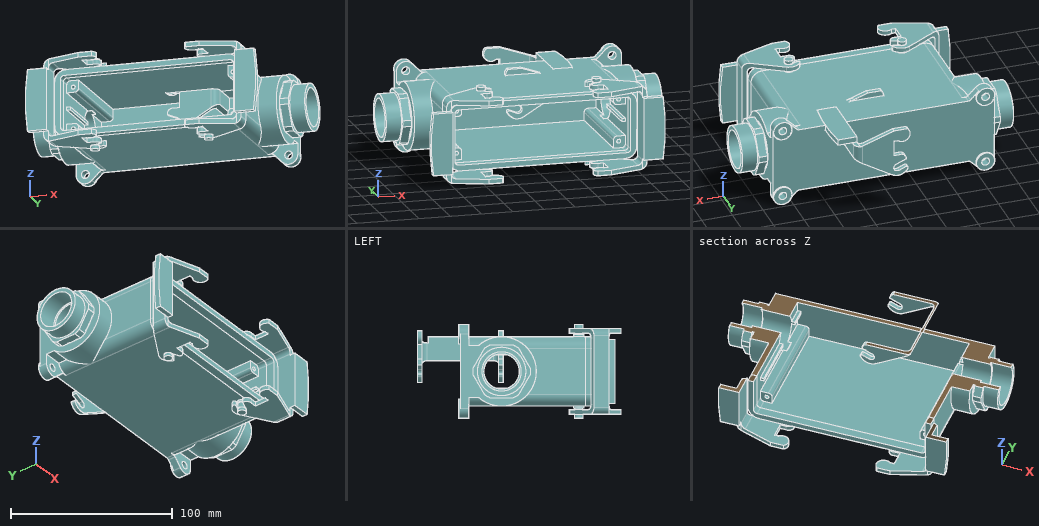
import cadquery as cq
import math


half_length = 60.2
half_height = 21.5
rim_y = -83.0
corner_radius = 7.3
wall = 3.7
cavity_corner_radius = 2.3
cavity_half_length = 56.3
cavity_half_height = half_height - wall

frame_depth = 5.8
shell_front_y = rim_y + frame_depth

post_size = 7.6
post_corner_radius = 2.3
post_hole_inset = 4.2
post_hole_diameter = 2.5
post_hole_depth = 10.6
post_front_y = -70.8
rib_width = 2.0
rib_height = 2.3

flange_thickness = 5.3
end_face_x = 72.2
ear_diameter = 12.0
ear_radius = ear_diameter / 2
ear_hole_diameter = 5.0
ear_x = end_face_x - ear_radius
ear_z = 23.0
ear_pad_height = 1.0
ear_fillet = 2.1

entry_y = -25.5
boss_diameter = 2 * half_height
boss_block_half_height = 16.1
neck_diameter = 31.0
neck_length = 0.9
hex_flats = 32.5
hex_corner_diameter = 35.5
hex_length = 5.7
tube_diameter = 30.0
tube_end_x = 88.5
tube_bore_diameter = 24.2
tube_bore_depth = 13.3
entry_bore_diameter = 21.8

pin_x = 37.0
pin_y = -73.1
pin_collar_diameter = 6.5
pin_collar_height = 1.2
pin_neck_diameter = 5.0
pin_head_diameter = 5.5
pin_top_z = 29.0

sheet = 3.0
lever_half_width = 26.5
bend_outer_radius = 4.5
bend_inner_radius = 3.0
web_x = 27.3
web_top_y = -9.4
web_bottom_y = -18.8
nose_radius = 5.93
notch_angle = 22.0
nose_reach = 4.8
jaw_reach = 7.0
jaw_x = 2.3
jaw_top_y = -8.7
hook_x = -3.4
hook_y = -22.5
hook_radius = 4.8
lever_bottom_y = -26.2
handle_half_width = 19.8
handle_thickness = wall
handle_side_x = 36.6
handle_bow = 1.5

loose_lever_z = half_height + web_bottom_y - handle_thickness


def block_along_y(profile, y_from, y_to):
    """Extrude a profile, drawn on XZ, from y_from down to y_to."""
    return profile.extrude(y_from - y_to).translate((0, y_from, 0))


def rounded_bar(half_x, half_z, radius, y_from, y_to):
    bar = cq.Workplane("XZ").rect(2 * half_x, 2 * half_z)
    return block_along_y(bar, y_from, y_to).edges("|Y").fillet(radius)


def disc_along_x(diameter, x_from, x_to):
    disc = cq.Workplane("YZ").center(entry_y, 0).circle(diameter / 2)
    return disc.extrude(x_to - x_from).translate((x_from, 0, 0))


def cavity(y_from, y_to):
    return rounded_bar(cavity_half_length, cavity_half_height, cavity_corner_radius, y_from, y_to)


def corner_ear():
    """Ear at the +X +Z corner: a round pad that slopes at 45 degrees down to the shell top."""
    slope = math.radians(45)
    tangent_x = ear_x - ear_radius * math.cos(slope)
    tangent_z = ear_z + ear_radius * math.sin(slope)
    foot_x = tangent_x - (tangent_z - half_height)
    fillet_run = ear_fillet * math.tan(slope / 2)
    curve_start = (
        foot_x + fillet_run * math.cos(slope),
        half_height + fillet_run * math.sin(slope),
    )
    curve_middle = (
        foot_x - fillet_run + ear_fillet * math.sin(slope / 2),
        half_height + ear_fillet * (1 - math.cos(slope / 2)),
    )
    web = (
        cq.Workplane("XZ")
        .moveTo(end_face_x, 0)
        .lineTo(end_face_x, ear_z)
        .threePointArc((ear_x, ear_z + ear_radius), (tangent_x, tangent_z))
        .lineTo(*curve_start)
        .threePointArc(curve_middle, (foot_x - fillet_run, half_height))
        .lineTo(half_length - corner_radius, half_height)
        .lineTo(half_length - corner_radius, 0)
        .close()
    )
    pad = cq.Workplane("XZ").center(ear_x, ear_z).circle(ear_radius)
    hole = cq.Workplane("XZ").center(ear_x, ear_z).circle(ear_hole_diameter / 2)
    ear = block_along_y(web, 0, -flange_thickness)
    ear = ear.union(block_along_y(pad, ear_pad_height, -flange_thickness))
    return ear.cut(block_along_y(hole, ear_pad_height, -flange_thickness))


def cable_entry():
    """Boss and gland on the +X end, without the bore."""
    neck_end = end_face_x + neck_length
    hex_end = neck_end + hex_length
    boss_start = half_length - corner_radius
    boss = disc_along_x(boss_diameter, boss_start, end_face_x)
    block = cq.Workplane("XY").box(
        end_face_x - boss_start, -entry_y, 2 * boss_block_half_height, centered=(False, False, True)
    )
    block = block.translate((boss_start, entry_y, 0))
    hexagon = (
        cq.Workplane("YZ")
        .center(entry_y, 0)
        .polygon(6, hex_flats / math.cos(math.radians(30)))
        .extrude(hex_length)
        .translate((neck_end, 0, 0))
        .intersect(disc_along_x(hex_corner_diameter, neck_end, hex_end))
    )
    neck = disc_along_x(neck_diameter, end_face_x, neck_end)
    tube = disc_along_x(tube_diameter, hex_end, tube_end_x)
    return boss.union(block).union(neck).union(hexagon).union(tube)


def entry_bore():
    bore = disc_along_x(entry_bore_diameter, cavity_half_length - rib_height, tube_end_x)
    return bore.union(disc_along_x(tube_bore_diameter, tube_end_x - tube_bore_depth, tube_end_x))


def corner_post():
    """Screw post in the +X +Z corner of the cavity, joined to the walls."""
    centre_x = cavity_half_length - post_size / 2
    centre_z = cavity_half_height - post_size / 2
    square = cq.Workplane("XZ").center(centre_x, centre_z).rect(post_size, post_size)
    post = block_along_y(square, -wall, post_front_y)
    post = post.edges("|Y and <X and <Z").fillet(post_corner_radius)
    overlap = cq.Workplane("XZ").center(centre_x + wall / 2, centre_z + wall / 2).rect(post_size, post_size)
    overlap = block_along_y(overlap, -wall, post_front_y)
    inner = rounded_bar(half_length, half_height, corner_radius, 0, post_front_y)
    post = post.union(overlap.intersect(inner).cut(cavity(-wall, post_front_y)))
    hole = (
        cq.Workplane("XZ")
        .center(cavity_half_length - post_hole_inset, cavity_half_height - post_hole_inset)
        .circle(post_hole_diameter / 2)
    )
    return post.cut(block_along_y(hole, post_front_y + post_hole_depth, post_front_y))


def end_rib():
    rib = cq.Workplane("XZ").center(cavity_half_length - rib_height / 2, 0).rect(rib_height, rib_width)
    return block_along_y(rib, -wall, post_front_y)


def locking_pin():
    """Pin on the +X top of the housing."""
    base = cq.Workplane("XY", origin=(pin_x, pin_y, half_height - wall / 2))
    collar = base.circle(pin_collar_diameter / 2).extrude(wall / 2 + pin_collar_height)
    neck = base.circle(pin_neck_diameter / 2).extrude(lever_half_width - half_height + wall / 2)
    head = (
        cq.Workplane("XY", origin=(pin_x, pin_y, lever_half_width))
        .circle(pin_head_diameter / 2)
        .extrude(pin_top_z - lever_half_width)
    )
    return collar.union(neck).union(head)


def at_both_ends(feature):
    return feature.union(feature.mirror("YZ"))


def at_four_corners(feature):
    both_ends = at_both_ends(feature)
    return both_ends.union(both_ends.mirror("XY"))


def make_housing():
    shell = rounded_bar(half_length, half_height, corner_radius, 0, shell_front_y)
    shell = shell.union(at_four_corners(corner_ear()))
    shell = shell.union(at_both_ends(cable_entry()))
    shell = shell.cut(cavity(-wall, shell_front_y))
    shell = shell.union(at_four_corners(corner_post()))
    shell = shell.union(at_both_ends(end_rib()))
    shell = shell.cut(at_both_ends(entry_bore()))
    return shell.union(at_four_corners(locking_pin()))


def make_rim_frame():
    frame = rounded_bar(half_length, half_height, corner_radius, shell_front_y, rim_y)
    return frame.cut(cavity(shell_front_y, rim_y))


def lever_outline():
    """Side outline of a lever arm, with the notch that grips the pin neck."""
    angle = math.radians(notch_angle)
    grip = pin_neck_diameter / 2
    across = (math.sin(angle), -math.cos(angle))
    along = (-math.cos(angle), -math.sin(angle))

    def notch_point(side, reach):
        return tuple(side * grip * a + reach * b for a, b in zip(across, along))

    to_web = math.atan2(web_top_y, web_x)
    tangent = to_web + math.acos(nose_radius / math.hypot(web_x, web_top_y))
    nose_start = (nose_radius * math.cos(tangent), nose_radius * math.sin(tangent))
    hook_start_x = hook_x + math.sqrt(hook_radius**2 - (web_bottom_y - hook_y) ** 2)
    hook_end_x = hook_x - math.sqrt(hook_radius**2 - (lever_bottom_y - hook_y) ** 2)
    return (
        cq.Workplane("XY")
        .moveTo(web_x, web_bottom_y)
        .lineTo(web_x, web_top_y)
        .lineTo(*nose_start)
        .threePointArc((-2.5, 5.58), (-6.5, 2.1))
        .threePointArc((-6.7, 0.9), notch_point(-1, nose_reach))
        .lineTo(*notch_point(-1, 0))
        .threePointArc((-grip * along[0], -grip * along[1]), notch_point(1, 0))
        .lineTo(*notch_point(1, jaw_reach))
        .threePointArc((-4.8, -7.6), (-1.5, jaw_top_y))
        .lineTo(jaw_x, jaw_top_y)
        .lineTo(jaw_x, web_bottom_y)
        .lineTo(hook_start_x, web_bottom_y)
        .threePointArc((hook_x - hook_radius, hook_y), (hook_end_x, lever_bottom_y))
        .lineTo(jaw_x, lever_bottom_y)
        .lineTo(web_x - sheet, web_bottom_y)
        .close()
    )


def make_lever():
    arms = lever_outline().extrude(lever_half_width, both=True)
    reach = 2 * web_x
    channel = (
        cq.Workplane("XZ")
        .center(web_x - reach / 2, 0)
        .rect(reach, 2 * lever_half_width)
        .extrude(-2 * lever_bottom_y, both=True)
        .edges("|Y and >X")
        .fillet(bend_outer_radius)
    )
    gap = (
        cq.Workplane("XZ")
        .center(web_x - sheet - reach / 2, 0)
        .rect(reach, 2 * (lever_half_width - sheet))
        .extrude(-2 * lever_bottom_y, both=True)
        .edges("|Y and >X")
        .fillet(bend_inner_radius)
    )
    handle = (
        cq.Workplane("XZ")
        .moveTo(web_x - sheet, -handle_half_width)
        .lineTo(handle_side_x, -handle_half_width)
        .threePointArc((handle_side_x + handle_bow, 0), (handle_side_x, handle_half_width))
        .lineTo(web_x - sheet, handle_half_width)
        .close()
    )
    handle = block_along_y(handle, web_bottom_y, web_bottom_y - handle_thickness)
    return arms.intersect(channel.cut(gap)).union(handle)


def place_levers():
    """Levers on the +X and -X pins, then the loose one, turned so its handle points up."""
    placements = [
        ((0, 1, 0), 0, (pin_x, pin_y, 0)),
        ((0, 1, 0), 180, (-pin_x, pin_y, 0)),
        ((1, 0, 0), -90, (0, 0, loose_lever_z)),
    ]
    levers = []
    for axis, angle, position in placements:
        levers.append(make_lever().rotate((0, 0, 0), axis, angle).translate(position))
    return levers


rim_frame = make_rim_frame()
right_lever, left_lever, loose_lever = place_levers()
housing = make_housing().cut(loose_lever)

result = cq.Compound.makeCompound(
    [housing.val(), rim_frame.val(), right_lever.val(), left_lever.val(), loose_lever.val()]
)